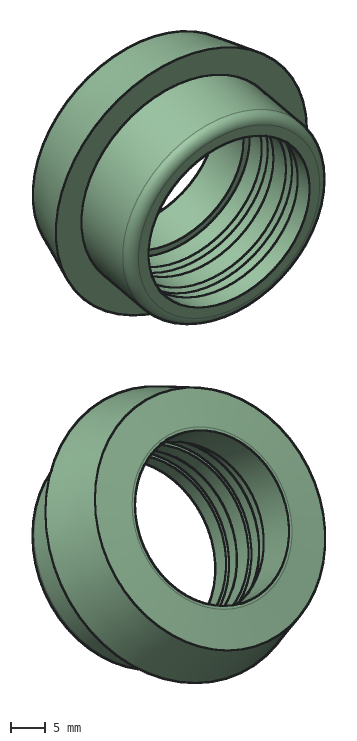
import cadquery as cq

length = 22.0
flange_length = 10.0
rim_x = 0.55

flange_diameter = 44.0
rim_diameter = 38.95
front_land_diameter = 27.0
spigot_diameter = 35.02
spigot_edge_radius = 1.65

front_bore_diameter = 26.0
front_bore_depth = 6.9
rear_bore_diameter = 28.2
groove_diameter = 29.2

first_groove_x = 9.95
groove_spacing = 6.1
groove_count = 2
groove_cone_length = 0.8
groove_length = 2.95


def revolve_about_x(profile):
    """Turn a closed (x, radius) profile through a full circle about X."""
    return profile.close().revolve(360, (0, 0, 0), (1, 0, 0))


def make_body():
    """Solid flange with a tapered side, plus the spigot with a rounded end."""
    flange = revolve_about_x(
        cq.Workplane("XY")
        .moveTo(0, 0)
        .lineTo(0, front_land_diameter / 2)
        .lineTo(rim_x, rim_diameter / 2)
        .lineTo(flange_length, flange_diameter / 2)
        .lineTo(flange_length, 0)
    )
    spigot = (
        cq.Workplane("YZ")
        .circle(spigot_diameter / 2)
        .extrude(length)
        .faces(">X")
        .edges()
        .fillet(spigot_edge_radius)
    )
    rear_side = (
        cq.Workplane("YZ", origin=(flange_length, 0, 0))
        .circle(flange_diameter / 2)
        .extrude(length - flange_length)
    )
    return flange.union(spigot.intersect(rear_side))


def make_bore():
    """Stepped through hole: a narrow front bore and a wider rear bore."""
    front = cq.Workplane("YZ").circle(front_bore_diameter / 2).extrude(length)
    rear = (
        cq.Workplane("YZ", origin=(front_bore_depth, 0, 0))
        .circle(rear_bore_diameter / 2)
        .extrude(length - front_bore_depth)
    )
    return front.union(rear)


def make_groove(start_x):
    """Sawtooth groove cutter that begins at start_x in the rear bore."""
    end_x = start_x + groove_length
    return revolve_about_x(
        cq.Workplane("XY")
        .moveTo(start_x, 0)
        .lineTo(start_x, rear_bore_diameter / 2)
        .lineTo(start_x + groove_cone_length, groove_diameter / 2)
        .lineTo(end_x, groove_diameter / 2)
        .lineTo(end_x, 0)
    )


result = make_body().cut(make_bore())
for index in range(groove_count):
    result = result.cut(make_groove(first_groove_x + index * groove_spacing))